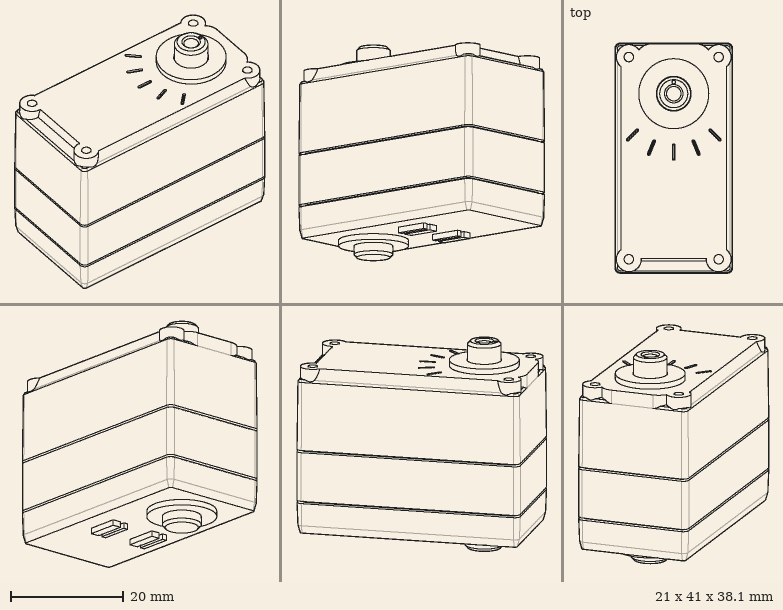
import cadquery as cq
import math

CASE_WIDTH = 21.0
CASE_LENGTH = 41.0
CORNER_RADIUS = 1.02

COVER_HEIGHT = 5.6
SEAM_GAP = 0.4
MIDDLE_HEIGHT = 8.98
TOP_HEIGHT = 15.0
SEAM_INSET = 1.02
SEAM_CORNER_RADIUS = 0.45

MIDDLE_Z = COVER_HEIGHT + SEAM_GAP
TOP_Z = MIDDLE_Z + MIDDLE_HEIGHT + SEAM_GAP
LID_Z = TOP_Z + TOP_HEIGHT

BEVEL_HEIGHT = 1.48
BEVEL_INSET = 0.4
COVER_DRAFT_INSET = 0.15

AXIS_Y = 11.5
COLLAR_DIAMETER = 12.45
COLLAR_HEIGHT = 1.02

CONNECTOR_WIDTH = 3.35
CONNECTOR_LENGTH = 6.0
CONNECTOR_CENTRE_X = (COLLAR_DIAMETER - CONNECTOR_WIDTH) / 2
KEY_SLOT_WIDTH = 0.78
KEY_SLOT_OFFSET = -0.4
CONTACT_DIAMETER = 0.5
CONTACT_HEIGHT = 0.3

TOP_DRAFT_INSET = 0.15
LID_HEIGHT = 2.05
EDGE_CHAMFER_HEIGHT = 0.45
EDGE_CHAMFER_INSET = 0.3
LID_SLOPE_INSET = 0.6
LID_LENGTH = 35.65
RAMP_HEIGHT = 0.45
TAB_WIDTH = 13.7
TAB_CORNER_RADIUS = 2.85

SHOULDER_Z = LID_Z - LID_HEIGHT
EDGE_Z = SHOULDER_Z - EDGE_CHAMFER_HEIGHT
SHOULDER_INSET = TOP_DRAFT_INSET + EDGE_CHAMFER_INSET
SHOULDER_HALF_WIDTH = CASE_WIDTH / 2 - SHOULDER_INSET
SHOULDER_HALF_LENGTH = CASE_LENGTH / 2 - SHOULDER_INSET

SCREW_SPACING_X = 16.0
SCREW_SPACING_Y = 36.0
LUG_RADIUS = 2.2
SCREW_HOLE_DIAMETER = 1.7
SCREW_HOLE_DEPTH = 4.1

MARK_WIDTH = 0.5
MARK_DEPTH = 0.25
MARK_WALL_ANGLE = 30.0
MARK_INNER_RADIUS = 8.95
MARK_OUTER_RADIUS = 11.85
MARK_COUNT = 5
MARK_STEP_ANGLE = 22.5

END_CHAMFER_HEIGHT = 0.57
END_CHAMFER_INSET = 0.5

SHAFT_DIAMETER = 6.0
SHAFT_HOLE_DIAMETER = 6.2
SHAFT_EXPOSED_HEIGHT = 3.53
BORE_DIAMETER = 2.6
BORE_MOUTH_DIAMETER = 3.3
BORE_MOUTH_ANGLE = 45.0
BORE_DEPTH = 3.3
INDEX_DIMPLE_DIAMETER = 0.6
INDEX_DIMPLE_DEPTH = 0.2
INDEX_DIMPLE_RADIUS = 2.05

PIVOT_DIAMETER = 6.93
PIVOT_HEIGHT = 2.1


def drafted_block(z, height, inset_below, inset_above):
    """Case-shaped block from z to z + height; its walls lean from one inset to the other."""

    def outline(inset):
        return (
            cq.Sketch()
            .rect(CASE_WIDTH - 2 * inset, CASE_LENGTH - 2 * inset)
            .vertices()
            .fillet(CORNER_RADIUS - inset)
        )

    lift = cq.Location(cq.Vector(0, 0, height))
    return (
        cq.Workplane("XY", origin=(0, 0, z))
        .placeSketch(outline(inset_below), outline(inset_above).moved(lift))
        .loft(ruled=True)
    )


def axis_cylinder(diameter, z, height):
    """Cylinder on the output axis, standing on z."""
    return cq.Workplane("XY", origin=(0, AXIS_Y, z)).circle(diameter / 2).extrude(height)


def make_bottom_cover():
    """Drafted, bevelled cover carrying the lower collar and two connectors."""
    wall = drafted_block(BEVEL_HEIGHT, COVER_HEIGHT - BEVEL_HEIGHT, COVER_DRAFT_INSET, 0)
    bevel = drafted_block(0, BEVEL_HEIGHT, COVER_DRAFT_INSET + BEVEL_INSET, COVER_DRAFT_INSET)
    collar = axis_cylinder(COLLAR_DIAMETER, -COLLAR_HEIGHT, COLLAR_HEIGHT)
    cover = wall.union(bevel).union(collar)
    for side in (-1, 1):
        cover = cover.union(make_connector(side * CONNECTOR_CENTRE_X))
    return cover


def make_connector(centre_x):
    """Connector block hanging below the cover, split by a keying slot with a short contact pin in it."""
    centre_y = -CONNECTOR_LENGTH / 2
    slot_x = centre_x + KEY_SLOT_OFFSET
    block = cq.Workplane("XY", origin=(centre_x, centre_y, 0)).rect(CONNECTOR_WIDTH, CONNECTOR_LENGTH)
    key_slot = cq.Workplane("XY", origin=(slot_x, centre_y, 0)).rect(KEY_SLOT_WIDTH, CONNECTOR_LENGTH)
    contact = cq.Workplane("XY", origin=(slot_x, centre_y, 0)).circle(CONTACT_DIAMETER / 2)
    return (
        block.extrude(-COLLAR_HEIGHT)
        .cut(key_slot.extrude(-COLLAR_HEIGHT))
        .union(contact.extrude(-CONTACT_HEIGHT))
    )


def make_middle_case():
    """Straight-walled middle block of the case, with a narrower neck filling the seam above and below it."""
    neck = (
        cq.Workplane("XY", origin=(0, 0, COVER_HEIGHT))
        .rect(CASE_WIDTH - 2 * SEAM_INSET, CASE_LENGTH - 2 * SEAM_INSET)
        .extrude(TOP_Z - COVER_HEIGHT)
        .edges("|Z")
        .fillet(SEAM_CORNER_RADIUS)
    )
    return drafted_block(MIDDLE_Z, MIDDLE_HEIGHT, 0, 0).union(neck)


def make_lid():
    """Raised lid with sloping sides; both ends stop short of the case walls."""
    base_width = 2 * SHOULDER_HALF_WIDTH
    return (
        cq.Workplane("XY", origin=(0, 0, SHOULDER_Z))
        .rect(base_width, LID_LENGTH + 2 * LID_SLOPE_INSET)
        .workplane(offset=LID_HEIGHT)
        .rect(base_width - 2 * LID_SLOPE_INSET, LID_LENGTH)
        .loft(ruled=True)
    )


def make_ramps():
    """Shallow slope along both ends, rising from the shoulder to the foot of the lid between the lugs."""
    foot_half_length = LID_LENGTH / 2 + LID_SLOPE_INSET * (1 - RAMP_HEIGHT / LID_HEIGHT)
    return (
        cq.Workplane("YZ")
        .moveTo(-SHOULDER_HALF_LENGTH, SHOULDER_Z)
        .lineTo(SHOULDER_HALF_LENGTH, SHOULDER_Z)
        .lineTo(foot_half_length, SHOULDER_Z + RAMP_HEIGHT)
        .lineTo(-foot_half_length, SHOULDER_Z + RAMP_HEIGHT)
        .close()
        .extrude(SCREW_SPACING_X / 2, both=True)
    )


def make_tab():
    """Round-cornered tab carrying the lid out flush with the +Y wall."""
    outer_y = CASE_LENGTH / 2 - TOP_DRAFT_INSET
    return (
        cq.Workplane("XY", origin=(0, AXIS_Y, EDGE_Z))
        .box(TAB_WIDTH, outer_y - AXIS_Y, LID_Z - EDGE_Z, centered=(True, False, False))
        .edges("|Z and >Y")
        .fillet(TAB_CORNER_RADIUS)
    )


def screw_points(z):
    """Centres of the four corner screws at height z."""
    return (
        cq.Workplane("XY", origin=(0, 0, z))
        .rect(SCREW_SPACING_X, SCREW_SPACING_Y, forConstruction=True)
        .vertices()
    )


def make_angle_mark(angle):
    """Round-ended slot cutter narrowing downwards, on a ray from the output axis at an angle to -Y."""
    mid_radius = (MARK_INNER_RADIUS + MARK_OUTER_RADIUS) / 2
    return (
        cq.Workplane("XY", origin=(0, -mid_radius, 0))
        .slot2D(MARK_OUTER_RADIUS - MARK_INNER_RADIUS, MARK_WIDTH, 90)
        .extrude(-MARK_DEPTH, taper=MARK_WALL_ANGLE)
        .rotate((0, 0, 0), (0, 0, 1), angle)
        .translate((0, AXIS_Y, LID_Z))
    )


def make_top_case():
    """Drafted case with its lid, lugs and upper collar, then the holes and engraved marks."""
    walls = drafted_block(TOP_Z, EDGE_Z - TOP_Z, 0, TOP_DRAFT_INSET)
    edge = drafted_block(EDGE_Z, EDGE_CHAMFER_HEIGHT, TOP_DRAFT_INSET, SHOULDER_INSET)
    lugs = screw_points(EDGE_Z).circle(LUG_RADIUS).extrude(LID_Z - EDGE_Z)
    collar = axis_cylinder(COLLAR_DIAMETER, LID_Z, COLLAR_HEIGHT)
    case = walls.union(edge).union(make_lid()).union(make_ramps()).union(make_tab()).union(lugs).union(collar)

    case = case.cut(axis_cylinder(SHAFT_HOLE_DIAMETER, LID_Z, COLLAR_HEIGHT))
    case = case.cut(screw_points(LID_Z).circle(SCREW_HOLE_DIAMETER / 2).extrude(-SCREW_HOLE_DEPTH))
    for index in range(MARK_COUNT):
        case = case.cut(make_angle_mark((index - (MARK_COUNT - 1) / 2) * MARK_STEP_ANGLE))
    return case


def make_output_shaft():
    """Shaft standing on the lid inside the collar, with a countersunk bore and an index dimple."""
    top_z = LID_Z + COLLAR_HEIGHT + SHAFT_EXPOSED_HEIGHT
    shaft = axis_cylinder(SHAFT_DIAMETER, LID_Z, top_z - LID_Z)
    shaft = shaft.faces(">Z").edges().chamfer(END_CHAMFER_HEIGHT, END_CHAMFER_INSET)
    bore = axis_cylinder(BORE_DIAMETER, top_z - BORE_DEPTH, BORE_DEPTH)
    mouth_depth = (BORE_MOUTH_DIAMETER - BORE_DIAMETER) / 2 / math.tan(math.radians(BORE_MOUTH_ANGLE))
    mouth = cq.Workplane("XY", origin=(0, AXIS_Y, top_z)).circle(BORE_MOUTH_DIAMETER / 2)
    mouth = mouth.extrude(-mouth_depth, taper=BORE_MOUTH_ANGLE)
    dimple = (
        cq.Workplane("XY", origin=(0, AXIS_Y + INDEX_DIMPLE_RADIUS, top_z))
        .circle(INDEX_DIMPLE_DIAMETER / 2)
        .extrude(-INDEX_DIMPLE_DEPTH)
    )
    return shaft.cut(bore).cut(mouth).cut(dimple)


def make_rear_pivot():
    """Pivot pin butted against the bottom collar, chamfered at its free end."""
    pivot = axis_cylinder(PIVOT_DIAMETER, -COLLAR_HEIGHT - PIVOT_HEIGHT, PIVOT_HEIGHT)
    return pivot.faces("<Z").edges().chamfer(END_CHAMFER_HEIGHT, END_CHAMFER_INSET)


bottom_cover = make_bottom_cover()
middle_case = make_middle_case()
top_case = make_top_case()
output_shaft = make_output_shaft()
rear_pivot = make_rear_pivot()

bodies = [bottom_cover, middle_case, top_case, output_shaft, rear_pivot]
result = cq.Compound.makeCompound([body.solids().val() for body in bodies])